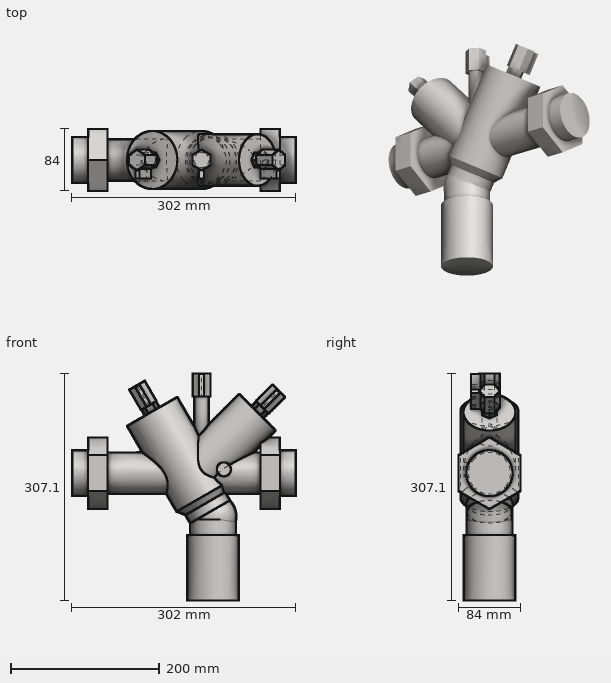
import cadquery as cq
import math


overall_length = 302.0
pipe_radius = 28.25
pipe_end_radius = 31.15
nut_across_flats = 84.0
nut_width = 26.4
nut_inner_x = 103.1
nut_outer_x = nut_inner_x + nut_width

inlet_tilt = -30.0
inlet_radius = 39.25
inlet_foot_x = 5.2
inlet_top = 96.2
inlet_bottom = -37.4
inlet_cone_length = 10.0
neck_radius = 31.2
neck_length = 12.8
neck_bottom = inlet_bottom - inlet_cone_length - neck_length

outlet_tilt = 45.0
outlet_radius = 35.0
outlet_foot_x = 16.9
outlet_top = 116.4

elbow_z = -58.7
elbow_x = 39.9
discharge_x = 39.1
discharge_top = -62.4
sleeve_top = -83.7
sleeve_bottom = -172.2
sleeve_radius = 35.0

stub_x = 53.9
stub_z = 5.2
stub_radius = 9.5
stub_end_y = -34.5
upright_x = 23.8
upright_radius = 10.0
upright_top = 103.2

head_across_flats = 24.2
head_length = 31.7
stem_across_flats = 20.0
stem_length = 9.2
tab_width = 6.6
tab_reach = 25.0
tab_top_gap = 1.0


def hex_diameter(across_flats):
    """Corner-to-corner diameter of a hexagon."""
    return across_flats / math.cos(math.radians(30))


def leaning_plane(foot_x, tilt, distance):
    """Plane across an axis that crosses Z = 0 at foot_x and leans by tilt degrees towards +X.

    The plane's x direction is the part's -Y, and its normal points up along the axis.
    """
    run = math.sin(math.radians(tilt))
    rise = math.cos(math.radians(tilt))
    origin = (foot_x + run * distance, 0, rise * distance)
    return cq.Plane(origin=origin, xDir=(0, -1, 0), normal=(run, 0, rise))


def main_pipe():
    """Pipe along X with a hexagonal nut and a thicker plain end on both sides."""
    pipe = cq.Workplane("YZ").circle(pipe_radius).extrude(nut_outer_x, both=True)
    for side in (-1, 1):
        nut = (
            cq.Workplane("YZ", origin=(side * nut_inner_x, 0, 0))
            .transformed(rotate=(0, 0, 90))
            .polygon(6, hex_diameter(nut_across_flats))
            .extrude(side * nut_width)
        )
        end = (
            cq.Workplane("YZ", origin=(side * nut_outer_x, 0, 0))
            .circle(pipe_end_radius)
            .extrude(side * (overall_length / 2 - nut_outer_x))
        )
        pipe = pipe.union(nut).union(end)
    return pipe


def inlet_barrel():
    """Round barrel that narrows through a cone to the neck above the elbow."""
    cone_bottom = inlet_bottom - inlet_cone_length
    profile = [
        (0, inlet_top),
        (inlet_radius, inlet_top),
        (inlet_radius, inlet_bottom),
        (neck_radius, cone_bottom),
        (neck_radius, neck_bottom),
        (0, neck_bottom),
    ]
    base = leaning_plane(inlet_foot_x, inlet_tilt, 0)
    section = cq.Plane(origin=base.origin, xDir=base.xDir, normal=base.xDir.cross(base.zDir))
    return cq.Workplane(section).polyline(profile).close().revolve(360, (0, 0), (0, 1))


def outlet_barrel():
    """Round barrel from the main pipe's axis to the flat outlet face."""
    base = leaning_plane(outlet_foot_x, outlet_tilt, 0)
    return cq.Workplane(base).circle(outlet_radius).extrude(outlet_top)


def discharge():
    """Ball elbow, short pipe and wider sleeve, pointing straight down."""
    ball = cq.Workplane("XY", origin=(elbow_x, 0, elbow_z)).sphere(neck_radius)
    pipe = (
        cq.Workplane("XY", origin=(discharge_x, 0, sleeve_top))
        .circle(neck_radius)
        .extrude(discharge_top - sleeve_top)
    )
    sleeve = (
        cq.Workplane("XY", origin=(discharge_x, 0, sleeve_bottom))
        .circle(sleeve_radius)
        .extrude(sleeve_top - sleeve_bottom)
    )
    return ball.union(pipe).union(sleeve)


def relief_stub():
    """Small round stub on the front of the main pipe."""
    return (
        cq.Workplane("XZ", origin=(stub_x, 0, stub_z))
        .circle(stub_radius)
        .extrude(-stub_end_y)
    )


def upright_neck():
    """Upright round neck rising from the main pipe's axis."""
    return cq.Workplane("XY", origin=(upright_x, 0, 0)).circle(upright_radius).extrude(upright_top)


def make_housing():
    return (
        main_pipe()
        .union(inlet_barrel())
        .union(outlet_barrel())
        .union(discharge())
        .union(relief_stub())
        .union(upright_neck())
    )


def make_test_cock(seat, stem):
    """Test cock standing on the seat plane; a head corner and the tab point along the seat's x."""
    head = (
        cq.Workplane(seat)
        .workplane(offset=stem)
        .polygon(6, hex_diameter(head_across_flats))
        .extrude(head_length)
    )
    tab = (
        cq.Workplane(seat)
        .workplane(offset=stem)
        .center(tab_reach / 2, 0)
        .rect(tab_reach, tab_width)
        .extrude(head_length - tab_top_gap)
    )
    cock = head.union(tab)
    if stem > 0:
        shank = (
            cq.Workplane(seat)
            .transformed(rotate=(0, 0, 90))
            .polygon(6, hex_diameter(stem_across_flats))
            .extrude(stem)
        )
        cock = cock.union(shank)
    return cock


housing = make_housing()

cock_seats = [
    (leaning_plane(inlet_foot_x, inlet_tilt, inlet_top), stem_length),
    (leaning_plane(upright_x, 0, upright_top), 0),
    (leaning_plane(outlet_foot_x, outlet_tilt, outlet_top), stem_length),
]
test_cocks = [make_test_cock(seat, stem) for seat, stem in cock_seats]

result = cq.Compound.makeCompound([housing.val(), *[cock.val() for cock in test_cocks]])